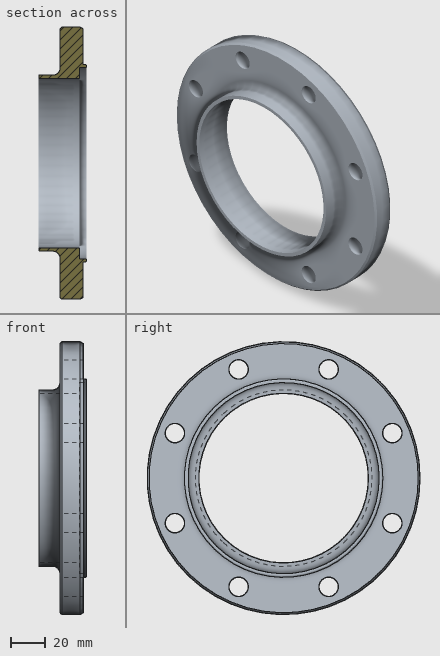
import cadquery as cq

total_length = 27.5
flange_start = 12.1
raised_face_height = 1.9
recess_depth = 4.1
flange_end = total_length - raised_face_height

bore_diameter = 97.3
hub_diameter = 101.6
raised_face_diameter = 114.1
recess_diameter = 109.9
flange_diameter = 157.0

hub_fillet = 4.1
rim_chamfer_depth = 1.1
hub_side_chamfer_width = 1.1
face_side_chamfer_width = 1.9
raised_face_round = 1.0

bolt_count = 8
bolt_circle_diameter = 135.3
bolt_hole_diameter = 11.0
first_bolt_angle = 180 / bolt_count


def disc(diameter, start, end):
    """Solid disc about the X axis between two X positions."""
    return cq.Workplane("YZ").workplane(offset=start).circle(diameter / 2).extrude(end - start)


flange_radius = flange_diameter / 2
chamfered_radius = flange_radius - rim_chamfer_depth
flange = (
    cq.Workplane("XY")
    .moveTo(flange_start, 0)
    .lineTo(flange_start, chamfered_radius)
    .lineTo(flange_start + hub_side_chamfer_width, flange_radius)
    .lineTo(flange_end - face_side_chamfer_width, flange_radius)
    .lineTo(flange_end, chamfered_radius)
    .lineTo(flange_end, 0)
    .close()
    .revolve(360, (0, 0, 0), (1, 0, 0))
)

hub = disc(hub_diameter, 0, flange_start)
hub_root = cq.selectors.RadiusNthSelector(0)
body = flange.union(hub)
body = body.faces("<X[1]").edges(hub_root).fillet(hub_fillet)

raised_face = disc(raised_face_diameter, flange_end, total_length)
raised_face = raised_face.edges(">X").fillet(raised_face_round)
body = body.union(raised_face)

body = body.cut(disc(bore_diameter, 0, total_length))
body = body.cut(disc(recess_diameter, total_length - recess_depth, total_length))

bolt_holes = (
    cq.Workplane("YZ")
    .polarArray(bolt_circle_diameter / 2, first_bolt_angle, 360, bolt_count)
    .circle(bolt_hole_diameter / 2)
    .extrude(total_length)
)

result = body.cut(bolt_holes)